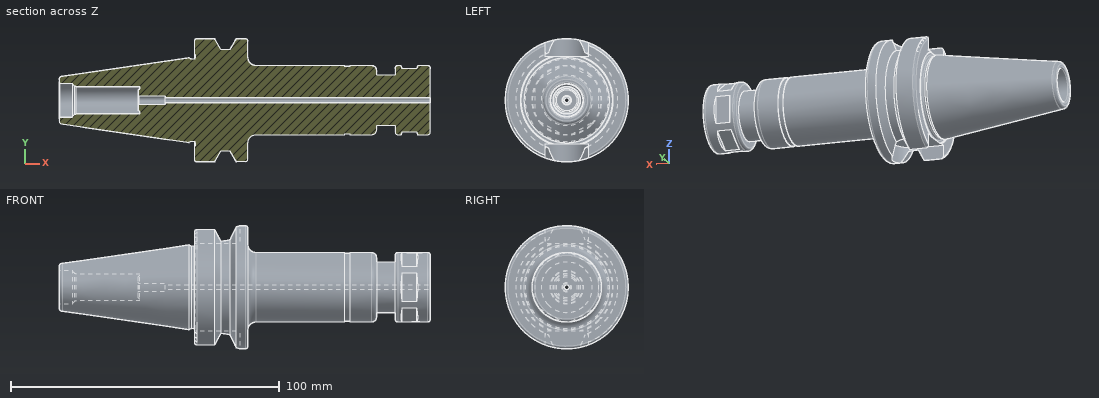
import cadquery as cq
import math


taper_length = 48.4
gauge_radius = 31.75 / 2
taper_slope = 7 / 24 / 2
tail_radius = gauge_radius - taper_slope * taper_length
tail_fillet = 1.2

neck_start = 0.9
neck_radius = 15.4
neck_fillet = 0.6
relief_outer_radius = 17.3
relief_depth = 0.3

flange_start = 2.0
relief_end = flange_start + relief_depth
flange_end = 22.0
flange_radius = 23.0
flange_fillet = 1.0
groove_center = 13.6
groove_half_width = 4.0
groove_bottom_radius = 19.0
groove_flank_angle = 30
groove_bottom_half_width = groove_half_width - (
    flange_radius - groove_bottom_radius
) * math.tan(math.radians(groove_flank_angle))

slot_width = 16.1
slot_end = 19.0
slot_floor = 16.3

shank_radius = 13.0
shank_fillet = 3.0
ring_start = 58.0
ring_end = 60.0
ring_depth = 0.25
shank_end = 70.0
shank_end_fillet = 2.0
spindle_radius = 19 / 2

nut_start = 76.8
nut_end = 90.0
nut_radius = 13.0
nut_fillet = 1.1
flat_count = 6
flat_distance = 11.9
flat_start = 79.45
flat_end = 84.9
flat_wall_slant = 0.4

pilot_radius = 12.5 / 2
pilot_mouth_fillet = 0.5
pilot_depth = 5.0
thread_mouth_radius = 12 / 2
thread_lead_radius = 10.4 / 2
thread_lead_length = 0.5
thread_radius = 10 / 2
thread_depth = 30.0

screw_radius = 8.8 / 2
screw_face_radius = 7.79 / 2
coolant_mouth_radius = 3.5 / 2
coolant_entry_radius = 3 / 2
coolant_entry_depth = 10.0
coolant_radius = 1.7 / 2


def revolve_about_x(profile):
    return profile.close().revolve(360, (0, 0, 0), (1, 0, 0))


def arc_offset(radius):
    """Distance from the corner of a square to the middle of its rounding arc."""
    return radius * (1 - math.sqrt(0.5))


def make_body():
    tail = -taper_length
    tail_tangent_radius = tail_radius + taper_slope * tail_fillet
    bend = arc_offset(tail_fillet)
    neck_bend = arc_offset(neck_fillet)
    flange_bend = arc_offset(flange_fillet)
    shank_bend = arc_offset(shank_fillet)
    end_bend = arc_offset(shank_end_fillet)
    nut_bend = arc_offset(nut_fillet)
    profile = (
        cq.Workplane("XY")
        .moveTo(tail, 0)
        .lineTo(tail, tail_tangent_radius - tail_fillet)
        .threePointArc(
            (tail + bend, tail_tangent_radius - bend),
            (tail + tail_fillet, tail_tangent_radius),
        )
        .lineTo(0, gauge_radius)
        .lineTo(neck_start, neck_radius)
        .lineTo(relief_end - neck_fillet, neck_radius)
        .threePointArc(
            (relief_end - neck_bend, neck_radius + neck_bend),
            (relief_end, neck_radius + neck_fillet),
        )
        .lineTo(relief_end, relief_outer_radius - relief_depth)
        .lineTo(flange_start, relief_outer_radius)
        .lineTo(flange_start, flange_radius - flange_fillet)
        .threePointArc(
            (flange_start + flange_bend, flange_radius - flange_bend),
            (flange_start + flange_fillet, flange_radius),
        )
        .lineTo(groove_center - groove_half_width, flange_radius)
        .lineTo(groove_center - groove_bottom_half_width, groove_bottom_radius)
        .lineTo(groove_center + groove_bottom_half_width, groove_bottom_radius)
        .lineTo(groove_center + groove_half_width, flange_radius)
        .lineTo(flange_end - flange_fillet, flange_radius)
        .threePointArc(
            (flange_end - flange_bend, flange_radius - flange_bend),
            (flange_end, flange_radius - flange_fillet),
        )
        .lineTo(flange_end, shank_radius + shank_fillet)
        .threePointArc(
            (flange_end + shank_bend, shank_radius + shank_bend),
            (flange_end + shank_fillet, shank_radius),
        )
        .lineTo(ring_start, shank_radius)
        .lineTo(ring_start, shank_radius - ring_depth)
        .lineTo(ring_end, shank_radius - ring_depth)
        .lineTo(ring_end, shank_radius)
        .lineTo(shank_end - shank_end_fillet, shank_radius)
        .threePointArc(
            (shank_end - end_bend, shank_radius - end_bend),
            (shank_end, shank_radius - shank_end_fillet),
        )
        .lineTo(shank_end, spindle_radius)
        .lineTo(nut_start, spindle_radius)
        .lineTo(nut_start, nut_radius - nut_fillet)
        .threePointArc(
            (nut_start + nut_bend, nut_radius - nut_bend),
            (nut_start + nut_fillet, nut_radius),
        )
        .lineTo(nut_end - nut_fillet, nut_radius)
        .threePointArc(
            (nut_end - nut_bend, nut_radius - nut_bend),
            (nut_end, nut_radius - nut_fillet),
        )
        .lineTo(nut_end, 0)
    )
    return revolve_about_x(profile)


def make_bore():
    tail = -taper_length
    mouth_bend = arc_offset(pilot_mouth_fillet)
    pilot_end = tail + pilot_depth
    lead_start = pilot_end + thread_mouth_radius - thread_lead_radius
    lead_end = lead_start + thread_lead_length
    thread_end = tail + thread_depth
    screw_face = thread_end - (screw_radius - screw_face_radius)
    entry_start = screw_face + coolant_mouth_radius - coolant_entry_radius
    entry_end = screw_face + coolant_entry_depth
    profile = (
        cq.Workplane("XY")
        .moveTo(tail, 0)
        .lineTo(tail, pilot_radius + pilot_mouth_fillet)
        .threePointArc(
            (tail + mouth_bend, pilot_radius + mouth_bend),
            (tail + pilot_mouth_fillet, pilot_radius),
        )
        .lineTo(pilot_end, pilot_radius)
        .lineTo(pilot_end, thread_mouth_radius)
        .lineTo(lead_start, thread_lead_radius)
        .lineTo(lead_end, thread_lead_radius)
        .lineTo(lead_end, thread_radius)
        .lineTo(thread_end, thread_radius)
        .lineTo(thread_end, screw_radius)
        .lineTo(screw_face, screw_face_radius)
        .lineTo(screw_face, coolant_mouth_radius)
        .lineTo(entry_start, coolant_entry_radius)
        .lineTo(entry_end, coolant_entry_radius)
        .lineTo(entry_end, coolant_radius)
        .lineTo(nut_end, coolant_radius)
        .lineTo(nut_end, 0)
    )
    return revolve_about_x(profile)


def make_drive_slot(side):
    """Round-ended slot above (side = 1) or below (side = -1) the axis."""
    slot_height = flange_radius - slot_floor
    center = slot_end - slot_width / 2
    outline = (
        cq.Workplane("XY", origin=(0, 0, side * slot_floor))
        .moveTo(0, -slot_width / 2)
        .lineTo(center, -slot_width / 2)
        .threePointArc((slot_end, 0), (center, slot_width / 2))
        .lineTo(0, slot_width / 2)
        .close()
    )
    return outline.extrude(side * slot_height)


def make_nut_flat(angle):
    """Spanner notch with slanted end walls, turned about X by angle from the +Y side."""
    depth = nut_radius - flat_distance
    notch = (
        cq.Workplane("XY")
        .moveTo(flat_start, flat_distance)
        .lineTo(flat_start - flat_wall_slant, flat_distance + depth)
        .lineTo(flat_end + flat_wall_slant, flat_distance + depth)
        .lineTo(flat_end, flat_distance)
        .close()
        .extrude(nut_radius / 2, both=True)
    )
    return notch.rotate((0, 0, 0), (1, 0, 0), angle)


result = make_body().cut(make_bore())
for side in (1, -1):
    result = result.cut(make_drive_slot(side))
for index in range(flat_count):
    result = result.cut(make_nut_flat(index * 360 / flat_count))